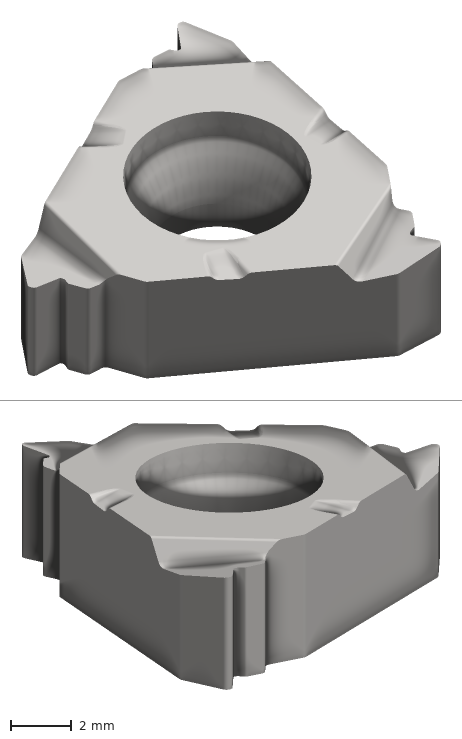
import cadquery as cq
import math

HEIGHT = 4.35
TEETH = 3
TOOTH_ANGLE = 360 / TEETH

TOOTH_SIDES = [
    (-60, 4.75, 0.27),
    (-30, 6.81, 0.18),
    (30, 6.92, 0.18),
    (90, 0.32, 0.08),
    (30, 6.0, 0.16),
    (-13, 6.4, 0.11),
    (30, 6.19, 0.2),
    (90, 1.35, 0.23),
    (30, 5.6, 0.27),
]

HOLE_DIAMETER = 4.41
SEAT_DIAMETER = 6.19
SEAT_FOOT_DIAMETER = 6.01
SEAT_DEPTH = 1.02
SEAT_CORNER_RADIUS = 0.38
BOWL_ANGLE = 38.0

GROOVE_ROOT_X = 5.8
GROOVE_ROOT_Z = 3.68
GROOVE_WALL_ANGLE = 58.0
GROOVE_FLOOR_ANGLE = 7.6
GROOVE_FILLET = 0.3
GROOVE_TILT = 5.5
GROOVE_TURN = 1.1
GROOVE_EDGE_RADIUS = 0.14
GROOVE_REACH = 8.24

DIMPLE_TURN = 15.0
DIMPLE_SLOPE = 10.0
DIMPLE_END = 3.27
DIMPLE_OFFSET = 1.45
DIMPLE_FLOOR_WIDTH = 0.82
DIMPLE_WALL_ANGLE = 45.0
DIMPLE_FILLET = 0.27
DIMPLE_EDGE_RADIUS = 0.2
DIMPLE_REACH = 2.75
DIMPLE_CUT_HEIGHT = 1.1


def meet(side, other):
    """Point where two sides, each given as (normal angle, distance), cross."""
    a, b = math.radians(side[0]), math.radians(other[0])
    det = math.sin(b - a)
    x = (side[1] * math.sin(b) - other[1] * math.sin(a)) / det
    y = (other[1] * math.cos(a) - side[1] * math.cos(b)) / det
    return cq.Vector(x, y)


def corner_arc(before, corner, after, radius):
    """Start, middle and end of the arc that rounds a corner."""
    back = (before - corner).normalized()
    ahead = (after - corner).normalized()
    half = back.getAngle(ahead) / 2
    start = corner + back * (radius / math.tan(half))
    end = corner + ahead * (radius / math.tan(half))
    bisector = (back + ahead).normalized()
    middle = corner + bisector * (radius / math.sin(half) - radius)
    return start, middle, end


def arm(length, angle):
    """Vector in a half section of the hole, at an angle below the outward direction."""
    return cq.Vector(length * math.cos(angle), -length * math.sin(angle))


def around(shape):
    """Copies of a shape, one per tooth."""
    return [shape.rotate((0, 0, 0), (0, 0, 1), i * TOOTH_ANGLE) for i in range(TEETH)]


def make_body():
    sides = [(n + i * TOOTH_ANGLE, d, r) for i in range(TEETH) for n, d, r in TOOTH_SIDES]
    count = len(sides)
    corners = [meet(sides[i], sides[(i + 1) % count]) for i in range(count)]
    arcs = [
        corner_arc(corners[i - 1], corners[i], corners[(i + 1) % count], sides[i][2])
        for i in range(count)
    ]
    outline = cq.Workplane("XY").moveTo(*arcs[-1][2].toTuple()[:2])
    for start, middle, end in arcs:
        outline = outline.lineTo(start.x, start.y)
        outline = outline.threePointArc((middle.x, middle.y), (end.x, end.y))
    return outline.close().extrude(HEIGHT)


def make_hole():
    hole_r = HOLE_DIAMETER / 2
    seat_r = SEAT_DIAMETER / 2
    foot = cq.Vector(SEAT_FOOT_DIAMETER / 2, HEIGHT - SEAT_DEPTH)
    taper = math.atan((seat_r - foot.x) / SEAT_DEPTH)
    lean = math.radians(BOWL_ANGLE)

    corner_center = foot - arm(SEAT_CORNER_RADIUS, taper)
    corner_mid = corner_center + arm(SEAT_CORNER_RADIUS, (taper + lean) / 2)
    bowl_top = corner_center + arm(SEAT_CORNER_RADIUS, lean)

    bowl_radius = (bowl_top.x - hole_r) / (1 - math.cos(lean))
    bowl_center = bowl_top + arm(bowl_radius, lean)
    bowl_mid = bowl_center - arm(bowl_radius, lean / 2)
    throat = bowl_center - arm(bowl_radius, 0)

    profile = (
        cq.Workplane("XZ")
        .lineTo(hole_r, 0)
        .lineTo(throat.x, throat.y)
        .threePointArc((bowl_mid.x, bowl_mid.y), (bowl_top.x, bowl_top.y))
        .threePointArc((corner_mid.x, corner_mid.y), (foot.x, foot.y))
        .lineTo(seat_r, HEIGHT)
        .lineTo(0, HEIGHT)
        .close()
    )
    return profile.revolve(360, (0, 0, 0), (0, 1, 0))


def make_groove():
    wall = math.radians(GROOVE_WALL_ANGLE)
    floor = math.radians(GROOVE_FLOOR_ANGLE)
    reach = GROOVE_REACH / 2
    root = (GROOVE_ROOT_X, GROOVE_ROOT_Z)
    wall_end = (root[0] - reach * math.cos(wall), root[1] + reach * math.sin(wall))
    floor_end = (root[0] + reach, root[1] + reach * math.tan(floor))
    pivot = cq.Vector(root[0], 0, root[1])
    cutter = (
        cq.Workplane("XZ")
        .polyline([root, floor_end, (floor_end[0], wall_end[1]), wall_end])
        .close()
        .extrude(reach, both=True)
        .edges(cq.selectors.NearestToPointSelector(pivot.toTuple()))
        .fillet(GROOVE_FILLET)
    )
    cutter = cutter.rotate(pivot, pivot + cq.Vector(0.14, 0, 0), GROOVE_TILT)
    return cutter.rotate(pivot, pivot + cq.Vector(0, 0, 0.14), GROOVE_TURN)


def make_dimple():
    half_floor = DIMPLE_FLOOR_WIDTH / 2
    half_top = half_floor + DIMPLE_CUT_HEIGHT / math.tan(math.radians(DIMPLE_WALL_ANGLE))
    section = [
        (-half_floor, 0),
        (half_floor, 0),
        (half_top, DIMPLE_CUT_HEIGHT),
        (-half_top, DIMPLE_CUT_HEIGHT),
    ]
    cutter = (
        cq.Workplane("YZ")
        .polyline(section)
        .close()
        .extrude(DIMPLE_REACH, both=True)
        .faces("<Z").edges("|X").fillet(DIMPLE_FILLET)
        .rotate((0, 0, 0), (0, 1, 0), -DIMPLE_SLOPE)
        .translate((-DIMPLE_END, DIMPLE_OFFSET, HEIGHT))
    )
    return cutter.rotate((0, 0, 0), (0, 0, 1), DIMPLE_TURN)


def round_top_edges(part, near, radius):
    """Round the top edge nearest to a point, with its tangent neighbours, at every tooth."""
    spots = around(cq.Vertex.makeVertex(near[0], near[1], HEIGHT))
    top = part.faces(">Z")
    picked = [top.edges(cq.selectors.NearestToPointSelector(p.toTuple())).val() for p in spots]
    return part.newObject(picked).fillet(radius)


result = make_body().cut(make_hole())

for groove in around(make_groove()):
    result = result.cut(groove)
groove_rise = (HEIGHT - GROOVE_ROOT_Z) / math.tan(math.radians(GROOVE_WALL_ANGLE))
result = round_top_edges(result, (GROOVE_ROOT_X - groove_rise, 0), GROOVE_EDGE_RADIUS)

for dimple in around(make_dimple()):
    result = result.cut(dimple)
dimple_turn = math.radians(DIMPLE_TURN)
dimple_corner = (
    -DIMPLE_END * math.cos(dimple_turn) - DIMPLE_OFFSET * math.sin(dimple_turn),
    DIMPLE_OFFSET * math.cos(dimple_turn) - DIMPLE_END * math.sin(dimple_turn),
)
result = round_top_edges(result, dimple_corner, DIMPLE_EDGE_RADIUS)